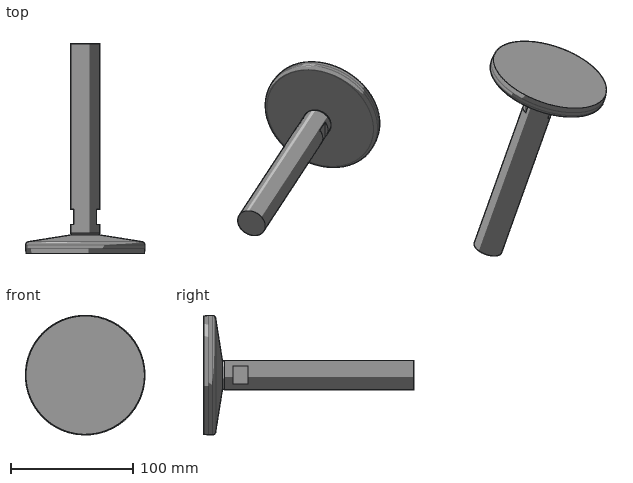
import cadquery as cq
import math

total_length = 172.0
foot_diameter = 98.0
shaft_diameter = 24.0

sole_inset = 0.5
rim_start = 4.1
rim_end = 7.0
rim_fillet = 3.0
cone_top = 15.5
shaft_start = 16.9

neck_radius = 11.5

flat_start = 23.9
flat_length = 12.4
across_flats = 19.0

foot_radius = foot_diameter / 2
shaft_radius = shaft_diameter / 2
sole_y = -total_length / 2
shaft_end_y = total_length / 2


def rim_arc_point(angle):
    """Point on the rim fillet, with the angle taken from the radial direction."""
    radius = foot_radius - rim_fillet + rim_fillet * math.cos(angle)
    height = rim_end + rim_fillet * math.sin(angle)
    return (radius, sole_y + height)


def cone_tangent_angle():
    """Angle on the rim fillet where the line to the top of the cone is tangent."""
    across = foot_radius - rim_fillet - neck_radius
    rise = cone_top - rim_end
    direction = math.atan2(rise, -across)
    return direction - math.acos(rim_fillet / math.hypot(across, rise))


def make_body():
    tangent = cone_tangent_angle()
    return (
        cq.Workplane("XY")
        .moveTo(0, sole_y)
        .lineTo(foot_radius - sole_inset, sole_y)
        .lineTo(foot_radius, sole_y + rim_start)
        .lineTo(foot_radius, sole_y + rim_end)
        .threePointArc(rim_arc_point(tangent / 2), rim_arc_point(tangent))
        .lineTo(neck_radius, sole_y + cone_top)
        .lineTo(shaft_radius, sole_y + shaft_start)
        .lineTo(shaft_radius, shaft_end_y)
        .lineTo(0, shaft_end_y)
        .close()
        .revolve(360, (0, 0, 0), (0, 1, 0))
    )


def make_flat_cutter(side):
    """Block that cuts the flat on the +X (side = 1) or -X (side = -1) side."""
    depth = shaft_radius
    center_x = side * (across_flats + depth) / 2
    center_y = sole_y + flat_start + flat_length / 2
    return cq.Workplane("XY").box(depth, flat_length, shaft_diameter).translate((center_x, center_y, 0))


result = make_body()
for side in (-1, 1):
    result = result.cut(make_flat_cutter(side))